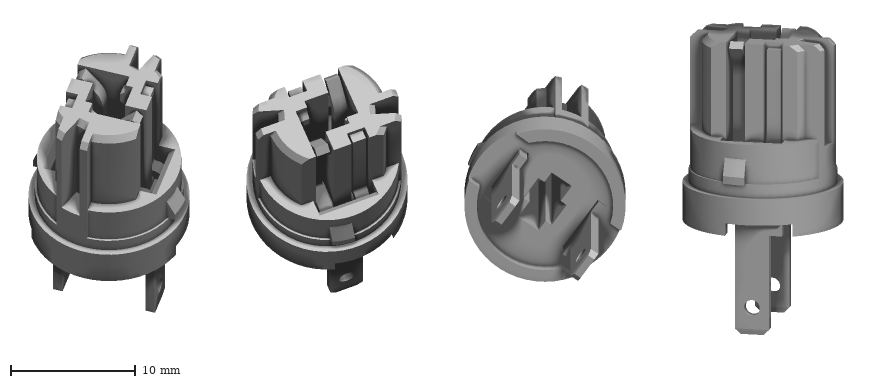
import cadquery as cq
import math

TOTAL_HEIGHT = 23.9
PLATE_BOTTOM = 8.27
FLANGE_BOTTOM = 8.58
CAVITY_CEILING = 9.6
FLANGE_TOP = 11.75
COLLAR_BOTTOM = 12.88
CATCH_FULL_TOP = 13.53
CATCH_TOP = 14.9
RIB_POCKET_FLOOR = 15.37
SHOULDER = 16.1

FLANGE_RADIUS = 13.0 / 2
NECK_RADIUS = 12.0 / 2
COLLAR_RADIUS = 5.83
POST_RADIUS = 4.92
CAVITY_RADIUS = 5.5
TOP_CHAMFER = 0.48
CATCH_OVERLAP = 0.25
CATCH_SIDES = (0.17, 1.98)
FLANGE_NOTCH_SIDES = (-3.6, 1.82)

POST_HALF_WIDTH = 3.4
RIB_LEFT = -0.02
POCKET_LEFT = 0.62
RIB_RIGHT = 2.77
POCKET_DEPTH_Y = 3.92
POCKET_WIDTH = 1.05
POCKET_TILT = 18

OPENING_HALF_X = 1.6
OPENING_HALF_Y = 1.31
NARROW_HALF_X = 1.0
SLOT_SIDES = (0.76, 2.32)
SHORT_SLOT_END = 2.4
SLOT_FLOOR = 14.0
SLOT_EDGE_RADIUS = 0.45
BUMP_REACH = 0.48
BUMP_KNEE = 0.25
BUMP_MIDDLE = 22.27
BUMP_NOSE_HALF = 0.43
BUMP_KNEE_HALF = 0.6
BUMP_ROOT_HALF = 0.98

SHEET = 0.75
PLATE_OUTER = 4.28
PLATE_HALF_WIDTH = 2.45
BLADE_HALF_WIDTH = 1.4
BLADE_TAPER = 0.45
BLADE_TIP_BEVEL = 0.07
BLADE_HOLE = 1.3
BLADE_HOLE_HEIGHT = 2.22
PLATE_SLOT_HALF_WIDTH = 2.55
LEAD_IN = 0.53
ARM_SIDES = (1.0, 2.13)
SHORT_ARM_TOP = 23.45
LONG_ARM_INNER = 0.84
FLARE_ANGLE = 42
FLARE_START = 20.9
FLARE_RADIUS = 2.2
FLARE_LENGTH = 1.7

PLATE_INNER = PLATE_OUTER - SHEET
PLATE_MIDDLE = PLATE_OUTER - SHEET / 2
SHORT_ARM_MIDDLE = SHORT_SLOT_END + SHEET / 2
BEND_RADIUS = (PLATE_MIDDLE - SHORT_ARM_MIDDLE) / 2
ARM_RUN_HEIGHT = SLOT_FLOOR + SHEET / 2
PLATE_TOP = ARM_RUN_HEIGHT - BEND_RADIUS


def box(x_range, y_range, z_range):
    """Box filling the given ranges."""
    size = [high - low for low, high in (x_range, y_range, z_range)]
    return cq.Workplane("XY").box(*size, centered=False).translate((x_range[0], y_range[0], z_range[0]))


def disc(radius, bottom, top):
    return cq.Workplane("XY").workplane(offset=bottom).circle(radius).extrude(top - bottom)


def half_turn(shape):
    return shape.rotate((0, 0, 0), (0, 0, 1), 180)


def with_half_turn(shape):
    return shape.union(half_turn(shape))


def chamfered_column(radius, bottom):
    return disc(radius, bottom, TOTAL_HEIGHT).faces(">Z").chamfer(TOP_CHAMFER)


def rib_block():
    """Block at +Y that the pocket splits into two ribs."""
    return chamfered_column(NECK_RADIUS, FLANGE_TOP).intersect(
        box((RIB_LEFT, RIB_RIGHT), (0, NECK_RADIUS), (FLANGE_TOP, TOTAL_HEIGHT))
    )


def rib_pocket():
    """Tilted pocket with a chamfer along its inner wall and an upright left side."""
    reach = NECK_RADIUS
    profile = [
        (0, RIB_POCKET_FLOOR), (reach, RIB_POCKET_FLOOR), (reach, TOTAL_HEIGHT),
        (-TOP_CHAMFER, TOTAL_HEIGHT), (0, TOTAL_HEIGHT - TOP_CHAMFER),
    ]
    tilted = (
        cq.Workplane("YZ", origin=(-reach, 0, 0)).polyline(profile).close()
        .extrude(reach + POCKET_WIDTH)
        .rotate((0, 0, 0), (0, 0, 1), -POCKET_TILT)
        .translate((POCKET_LEFT, POCKET_DEPTH_Y, 0))
    )
    right_of_rib = box((POCKET_LEFT, NECK_RADIUS), (0, 2 * NECK_RADIUS), (0, TOTAL_HEIGHT))
    return tilted.intersect(right_of_rib)


def catch():
    """Snap catch on the -X side, turned about the axis and cut to width."""
    root = COLLAR_RADIUS - CATCH_OVERLAP
    profile = [
        (root, COLLAR_BOTTOM), (FLANGE_RADIUS, COLLAR_BOTTOM), (FLANGE_RADIUS, CATCH_FULL_TOP),
        (COLLAR_RADIUS, CATCH_TOP), (root, CATCH_TOP),
    ]
    ring = cq.Workplane("XZ").polyline(profile).close().revolve(360, (0, 0, 0), (0, 1, 0))
    return ring.intersect(box((-FLANGE_RADIUS, 0), CATCH_SIDES, (COLLAR_BOTTOM, CATCH_TOP)))


def opening():
    """Central opening, with the end of each long slot left closed below its floor."""
    height = (FLANGE_BOTTOM, TOTAL_HEIGHT)
    wide = box((-OPENING_HALF_X, OPENING_HALF_X), (-OPENING_HALF_Y, OPENING_HALF_Y), height)
    narrow = box((-NARROW_HALF_X, NARROW_HALF_X), (-SLOT_SIDES[1], SLOT_SIDES[1]), height)
    ledge = box(
        (-OPENING_HALF_X, -NARROW_HALF_X), (SLOT_SIDES[0], OPENING_HALF_Y), (FLANGE_BOTTOM, SLOT_FLOOR)
    )
    return wide.cut(with_half_turn(ledge)).union(narrow)


def contact_slot(end, y_range):
    """Slot from the -X wall of the post to x = -end, its floor rounded off at the wall."""
    return (
        cq.Workplane("XZ", origin=(0, y_range[0], 0))
        .moveTo(-POST_HALF_WIDTH, SLOT_FLOOR - SLOT_EDGE_RADIUS)
        .radiusArc((SLOT_EDGE_RADIUS - POST_HALF_WIDTH, SLOT_FLOOR), SLOT_EDGE_RADIUS)
        .lineTo(-end, SLOT_FLOOR)
        .lineTo(-end, TOTAL_HEIGHT)
        .lineTo(-POST_HALF_WIDTH, TOTAL_HEIGHT)
        .close()
        .extrude(y_range[0] - y_range[1])
    )


def contact_slots():
    """Long and short contact slots and the plate slot with its lead-in, on the -X side."""
    long_slot = contact_slot(NARROW_HALF_X, SLOT_SIDES)
    short_slot = contact_slot(SHORT_SLOT_END, (-SLOT_SIDES[1], -SLOT_SIDES[0]))
    plate_slot = (
        cq.Workplane("XZ", origin=(0, PLATE_SLOT_HALF_WIDTH, 0))
        .moveTo(-PLATE_OUTER, FLANGE_BOTTOM)
        .lineTo(-POST_HALF_WIDTH, FLANGE_BOTTOM)
        .lineTo(-POST_HALF_WIDTH, SHOULDER)
        .lineTo(-PLATE_OUTER - LEAD_IN, SHOULDER)
        .lineTo(-PLATE_OUTER, SHOULDER - LEAD_IN)
        .close()
        .extrude(2 * PLATE_SLOT_HALF_WIDTH)
    )
    return long_slot.union(short_slot).union(plate_slot)


def bump():
    """Bump on the wall of the opening, facing -X, alike above and below its middle."""
    wall = NARROW_HALF_X
    nose = wall - BUMP_REACH
    half = (
        cq.Workplane("XZ", origin=(0, OPENING_HALF_Y, BUMP_MIDDLE))
        .moveTo(wall, 0)
        .lineTo(nose, 0)
        .lineTo(nose, BUMP_NOSE_HALF)
        .lineTo(wall - BUMP_KNEE, BUMP_KNEE_HALF)
        .tangentArcPoint((wall, BUMP_ROOT_HALF), relative=False)
        .close()
        .extrude(OPENING_HALF_Y - SLOT_SIDES[1])
    )
    return half.union(half.mirror("XY", (0, 0, BUMP_MIDDLE)))


def housing():
    """Molded body: flange, neck, collar, post, ribs and catches, with its openings."""
    post = chamfered_column(POST_RADIUS, FLANGE_TOP).intersect(
        box((-POST_HALF_WIDTH, POST_HALF_WIDTH), (-POST_RADIUS, POST_RADIUS), (FLANGE_TOP, TOTAL_HEIGHT))
    )
    flange_notch = box((-FLANGE_RADIUS, 0), FLANGE_NOTCH_SIDES, (FLANGE_BOTTOM, CAVITY_CEILING))
    body = (
        disc(FLANGE_RADIUS, FLANGE_BOTTOM, FLANGE_TOP)
        .union(disc(NECK_RADIUS, FLANGE_TOP, COLLAR_BOTTOM))
        .union(disc(COLLAR_RADIUS, COLLAR_BOTTOM, SHOULDER))
        .union(post)
        .union(with_half_turn(rib_block()))
        .union(with_half_turn(catch()))
    )
    return (
        body.cut(with_half_turn(rib_pocket()))
        .cut(disc(CAVITY_RADIUS, FLANGE_BOTTOM, CAVITY_CEILING))
        .cut(with_half_turn(flange_notch))
        .cut(opening())
        .cut(with_half_turn(contact_slots()))
        .union(with_half_turn(bump()))
    )


def follow(place, size, turn):
    """Place (x, z, heading) reached by a straight run, or by a bend when turn is not zero."""
    x, z, heading = place
    start = math.radians(heading)
    if turn == 0:
        return (x + size * math.cos(start), z + size * math.sin(start), heading)
    end = math.radians(heading + turn)
    radius = math.copysign(size, turn)
    return (
        x + radius * (math.sin(end) - math.sin(start)),
        z - radius * (math.cos(end) - math.cos(start)),
        heading + turn,
    )


def sheet_sides(place):
    """Points on the two faces of the sheet at a place on its middle line."""
    x, z, heading = place
    across_x = SHEET / 2 * math.sin(math.radians(heading))
    across_z = SHEET / 2 * math.cos(math.radians(heading))
    return (x - across_x, z + across_z), (x + across_x, z - across_z)


def bent_arm(steps, y_range):
    """Sheet arm that starts upright at the plate top and follows its steps.

    Each step is (length, 0) for a straight run or (radius, angle) for a bend, with the radius at
    mid-thickness and a positive angle in degrees turning from upright toward -X.
    """
    place = (-PLATE_MIDDLE, PLATE_TOP, 90)
    arm = cq.Workplane("XZ")
    for size, turn in steps:
        next_place = follow(place, size, turn)
        left_start, right_start = sheet_sides(place)
        left_end, right_end = sheet_sides(next_place)
        outline = cq.Workplane("XZ", origin=(0, y_range[0], 0)).moveTo(*left_start)
        if turn == 0:
            outline = outline.lineTo(*left_end).lineTo(*right_end).lineTo(*right_start)
        else:
            left_middle, right_middle = sheet_sides(follow(place, size, turn / 2))
            outline = (
                outline.threePointArc(left_middle, left_end)
                .lineTo(*right_end)
                .threePointArc(right_middle, right_start)
            )
        arm = arm.add(outline.close().extrude(y_range[0] - y_range[1]))
        place = next_place
    return arm.combine()


def blade():
    """Blade with a beveled tip and a round hole, on the -X side."""
    edge_on = (
        cq.Workplane("XZ", origin=(0, BLADE_HALF_WIDTH, 0))
        .moveTo(-PLATE_OUTER, PLATE_BOTTOM)
        .lineTo(-PLATE_OUTER, BLADE_TAPER)
        .lineTo(-PLATE_OUTER + BLADE_TIP_BEVEL, 0)
        .lineTo(-PLATE_INNER - BLADE_TIP_BEVEL, 0)
        .lineTo(-PLATE_INNER, BLADE_TAPER)
        .lineTo(-PLATE_INNER, PLATE_BOTTOM)
        .close()
        .extrude(2 * BLADE_HALF_WIDTH)
    )
    face_on = box((-PLATE_OUTER, -PLATE_INNER), (-BLADE_HALF_WIDTH, BLADE_HALF_WIDTH), (0, PLATE_BOTTOM))
    face_on = face_on.faces("<Z").edges("|X").chamfer(BLADE_TAPER)
    hole = (
        cq.Workplane("YZ", origin=(-PLATE_OUTER, 0, BLADE_HOLE_HEIGHT))
        .circle(BLADE_HOLE / 2).extrude(SHEET)
    )
    return edge_on.intersect(face_on).cut(hole)


def plate():
    """Plate above the blade; below the cavity ceiling it is wide on one side only."""
    thickness = (-PLATE_OUTER, -PLATE_INNER)
    upper = box(thickness, (-PLATE_HALF_WIDTH, PLATE_HALF_WIDTH), (CAVITY_CEILING, PLATE_TOP))
    lower = box(thickness, (-PLATE_HALF_WIDTH, BLADE_HALF_WIDTH), (PLATE_BOTTOM, CAVITY_CEILING))
    return upper.union(lower)


def short_arm():
    """Contact arm that jogs inward and stands against the end of the short slot."""
    rise = SHORT_ARM_TOP - ARM_RUN_HEIGHT - BEND_RADIUS
    steps = [(BEND_RADIUS, -90), (BEND_RADIUS, 90), (rise, 0)]
    return bent_arm(steps, (-ARM_SIDES[1], -ARM_SIDES[0]))


def long_arm():
    """Contact arm that crosses the floor of the long slot, rises and flares back outward."""
    middle = LONG_ARM_INNER + SHEET / 2
    run = PLATE_MIDDLE - middle - 2 * BEND_RADIUS
    rise = FLARE_START - ARM_RUN_HEIGHT - BEND_RADIUS
    steps = [
        (BEND_RADIUS, -90), (run, 0), (BEND_RADIUS, 90), (rise, 0),
        (FLARE_RADIUS, FLARE_ANGLE), (FLARE_LENGTH, 0),
    ]
    return bent_arm(steps, ARM_SIDES)


def terminal():
    """Sheet metal terminal on the -X side."""
    return blade().union(plate()).union(short_arm()).union(long_arm())


result = cq.Workplane(housing().union(with_half_turn(terminal())).solids().val())